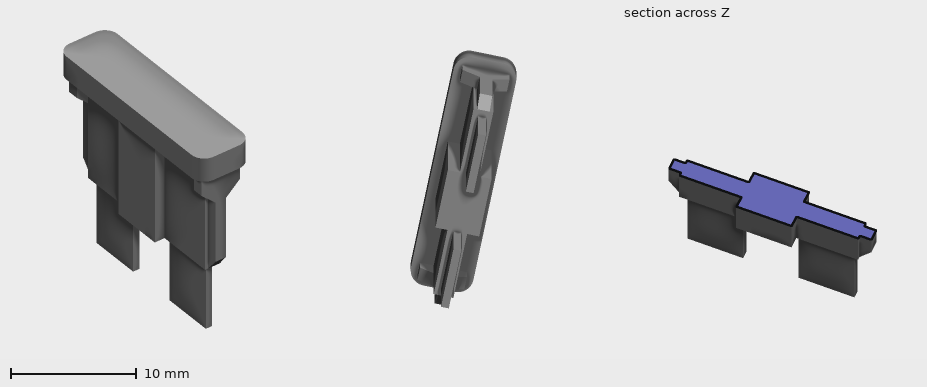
import cadquery as cq


cap_length = 19.05
cap_width = 5.08
cap_height = 2.286
cap_corner_radius = 1.27

housing_height = 10.16
panel_length = 15.494
panel_thickness = 1.6
rib_length = 4.8
rib_thickness = 3.556

rail_span = 17.526
rail_thickness = 1.016
rail_head_width = 3.81
rail_head_height = 1.778
rail_taper_height = 1.27
rail_chamfer_height = 1.27

blade_gap = rib_length
blade_width = 4.82
blade_thickness = 0.635
blade_length = 6.35


def block_below(length, width, height, x_center=0, z_top=0):
    """Box centred on Y = 0 that hangs down from z_top."""
    return (
        cq.Workplane("XY")
        .box(length, width, height, centered=(True, True, False))
        .translate((x_center, 0, z_top - height))
    )


def make_cap():
    """Flat cap with rounded vertical corners."""
    return (
        cq.Workplane("XY")
        .rect(cap_length, cap_width)
        .extrude(cap_height)
        .edges("|Z")
        .fillet(cap_corner_radius)
    )


def make_rails():
    """Thin rails with wide tapered heads, chamfered at their lower outer corners."""
    head_half = rail_head_width / 2
    rail_half = rail_thickness / 2
    taper_end = rail_head_height + rail_taper_height
    cross_section = (
        cq.Workplane("YZ")
        .moveTo(-head_half, 0)
        .lineTo(head_half, 0)
        .lineTo(head_half, -rail_head_height)
        .lineTo(rail_half, -taper_end)
        .lineTo(rail_half, -housing_height)
        .lineTo(-rail_half, -housing_height)
        .lineTo(-rail_half, -taper_end)
        .lineTo(-head_half, -rail_head_height)
        .close()
    )
    rail_length = (rail_span - panel_length) / 2
    rail = cross_section.extrude(rail_length)
    chamfer_cut = (
        cq.Workplane("XZ")
        .moveTo(0, -housing_height)
        .lineTo(rail_length, -housing_height)
        .lineTo(rail_length, -housing_height + rail_chamfer_height)
        .close()
        .extrude(rail_thickness, both=True)
    )
    right_rail = rail.cut(chamfer_cut).translate((panel_length / 2, 0, 0))
    return right_rail.union(right_rail.mirror("YZ"))


def make_housing():
    """End panels, thicker centre rib and the two side rails."""
    panel = block_below(panel_length, panel_thickness, housing_height)
    rib = block_below(rib_length, rib_thickness, housing_height)
    return panel.union(rib).union(make_rails())


def make_blade(side):
    """Flat blade below the housing; side is -1 or 1 along X."""
    x_center = side * (blade_gap + blade_width) / 2
    return block_below(blade_width, blade_thickness, blade_length, x_center, -housing_height)


result = make_cap().union(make_housing())
for side in (-1, 1):
    result = result.union(make_blade(side))